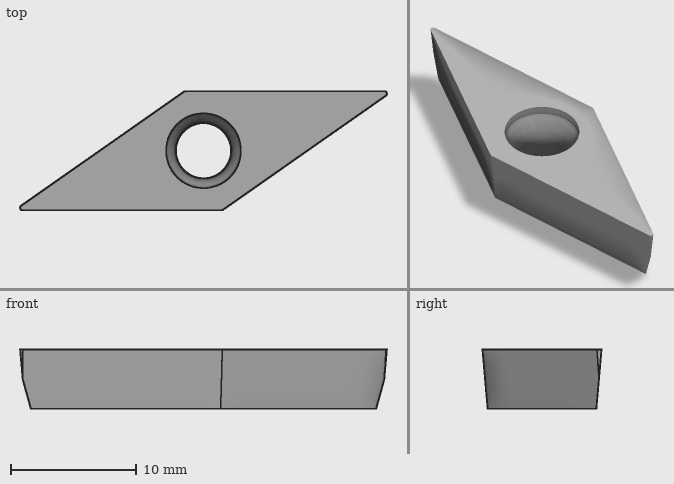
import cadquery as cq
import math

length = 29.35
width = 9.55
thickness = 4.75
nose_angle = math.radians(35)
relief_angle = math.radians(5)

bore_radius = 2.2
rim_radius = 3.0
rim_depth = 0.73
seat_depth = 2.85

side_slope = math.tan(nose_angle)
half_angle = nose_angle / 2
sharp_length = width / math.sin(nose_angle) + width / side_slope
nose_radius = (sharp_length - length) / 2 / (1 / math.tan(half_angle) - 1)
nose_depth = nose_radius / math.tan(relief_angle)


def rhombus_points(inset):
    """Corners of the rhombus with every side moved inwards by inset."""
    half_width = width / 2 - inset
    half_side = half_width / math.sin(nose_angle)
    shift = half_width / side_slope
    return [
        (-half_side - shift, -half_width),
        (half_side - shift, -half_width),
        (half_side + shift, half_width),
        (-half_side + shift, half_width),
    ]


def sharp_body():
    bottom_inset = thickness * math.tan(relief_angle)
    return (
        cq.Workplane("XY")
        .polyline(rhombus_points(bottom_inset)).close()
        .workplane(offset=thickness)
        .polyline(rhombus_points(0)).close()
        .loft(ruled=True)
    )


def nose_cutter():
    """Material outside the conical rounding of the nose on the -X side."""
    tip = rhombus_points(0)[0]
    center = rhombus_points(nose_radius)[0]
    lower_tangent = (center[0], tip[1])
    upper_tangent = (
        center[0] - nose_radius * math.sin(nose_angle),
        center[1] + nose_radius * math.cos(nose_angle),
    )
    apex = cq.Vector(center[0], center[1], thickness - nose_depth)
    kite = [cq.Vector(x, y, thickness) for x, y in (center, lower_tangent, tip, upper_tangent)]
    faces = [cq.Face.makeFromWires(cq.Wire.makePolygon(kite, close=True))]
    for start, end in zip(kite, kite[1:] + kite[:1]):
        faces.append(cq.Face.makeFromWires(cq.Wire.makePolygon([start, end, apex], close=True)))
    pyramid = cq.Solid.makeSolid(cq.Shell.makeShell(faces))
    cone = cq.Solid.makeCone(0, nose_radius, nose_depth, pnt=apex)
    return cq.Workplane(obj=pyramid).cut(cq.Workplane(obj=cone))


def screw_hole():
    """Bore that flares tangentially along an arc up to a short straight rim."""
    flare_width = rim_radius - bore_radius
    flare_height = seat_depth - rim_depth
    flare_radius = (flare_height**2 + flare_width**2) / (2 * flare_width)
    mid_angle = math.asin(flare_height / flare_radius) / 2
    seat_z = thickness - seat_depth
    flare_middle = (
        bore_radius + flare_radius * (1 - math.cos(mid_angle)),
        seat_z + flare_radius * math.sin(mid_angle),
    )
    return (
        cq.Workplane("XZ")
        .lineTo(bore_radius, 0)
        .lineTo(bore_radius, seat_z)
        .threePointArc(flare_middle, (rim_radius, thickness - rim_depth))
        .lineTo(rim_radius, thickness)
        .lineTo(0, thickness)
        .close()
        .revolve(360, (0, 0, 0), (0, 1, 0))
    )


result = sharp_body().cut(screw_hole())
for turn in (0, 180):
    result = result.cut(nose_cutter().rotate((0, 0, 0), (0, 0, 1), turn))